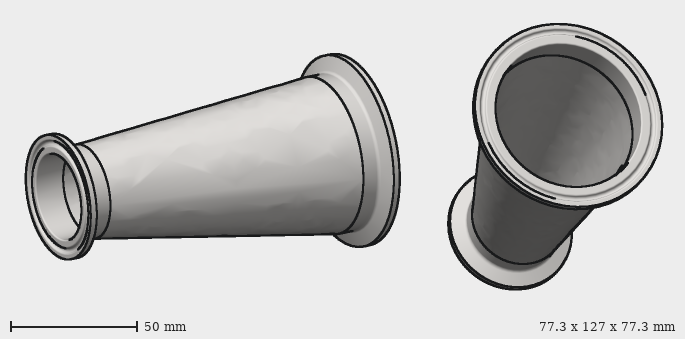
import cadquery as cq
import math

total_length = 127.0
ferrule_length = 12.7
wall = 1.7

large_tube_radius = 31.8
large_flange_radius = 38.67
small_tube_radius = 19.0
small_flange_radius = 25.1

small_axis_x = small_tube_radius - large_tube_radius

rim_thickness = 2.8
flange_back_angle = math.radians(20)
neck_fillet = 1.5
mouth_round = 0.6

groove_inset = 3.4
groove_floor_radius = 1.08
groove_lip_radius = 0.8
groove_flank_angle = math.radians(70)


def ferrule_body(tube_radius, flange_radius):
    """Flanged tube around the Y axis, with its clamp face at Y = 0."""
    bore_radius = tube_radius - wall
    neck_start = tube_radius + neck_fillet * (1 - math.sin(flange_back_angle))
    neck_start_y = rim_thickness + (flange_radius - neck_start) * math.tan(flange_back_angle)
    neck_centre_y = neck_start_y + neck_fillet * math.cos(flange_back_angle)

    neck_mid_angle = flange_back_angle / 2 + math.pi / 4
    neck_mid = (
        tube_radius + neck_fillet * (1 - math.sin(neck_mid_angle)),
        neck_centre_y - neck_fillet * math.cos(neck_mid_angle),
    )
    mouth_mid_offset = mouth_round * (1 - math.sqrt(0.5))

    profile = (
        cq.Workplane("XY")
        .moveTo(bore_radius + mouth_round, 0)
        .lineTo(flange_radius, 0)
        .lineTo(flange_radius, rim_thickness)
        .lineTo(neck_start, neck_start_y)
        .threePointArc(neck_mid, (tube_radius, neck_centre_y))
        .lineTo(tube_radius, ferrule_length)
        .lineTo(bore_radius, ferrule_length)
        .lineTo(bore_radius, mouth_round)
        .threePointArc(
            (bore_radius + mouth_mid_offset, mouth_mid_offset),
            (bore_radius + mouth_round, 0),
        )
        .close()
    )
    return profile.revolve(360, (0, 0, 0), (0, 1, 0))


def gasket_groove(centre_radius):
    """Ring-shaped cutter for the groove in a clamp face at Y = 0."""
    floor_half_width = groove_floor_radius * math.sin(groove_flank_angle)
    half_width = floor_half_width + groove_lip_radius * math.sin(groove_flank_angle)
    lip_depth = groove_lip_radius * (1 - math.cos(groove_flank_angle))
    depth = lip_depth + groove_floor_radius * (1 - math.cos(groove_flank_angle))

    lip_mid_offset = half_width - groove_lip_radius * math.sin(groove_flank_angle / 2)
    lip_mid_depth = groove_lip_radius * (1 - math.cos(groove_flank_angle / 2))

    profile = (
        cq.Workplane("XY")
        .moveTo(centre_radius - half_width, 0)
        .threePointArc(
            (centre_radius - lip_mid_offset, lip_mid_depth),
            (centre_radius - floor_half_width, lip_depth),
        )
        .threePointArc((centre_radius, depth), (centre_radius + floor_half_width, lip_depth))
        .threePointArc(
            (centre_radius + lip_mid_offset, lip_mid_depth),
            (centre_radius + half_width, 0),
        )
        .close()
    )
    return profile.revolve(360, (0, 0, 0), (0, 1, 0))


def ferrule(tube_radius, flange_radius):
    """Clamp ferrule with its grooved face at Y = 0 and its tube toward +Y."""
    body = ferrule_body(tube_radius, flange_radius)
    return body.cut(gasket_groove(flange_radius - groove_inset))


def oblique_cone(small_radius, large_radius):
    """Solid oblique cone between the inner ends of the two ferrules."""
    return (
        cq.Workplane("XZ", origin=(0, ferrule_length, 0))
        .center(small_axis_x, 0)
        .circle(small_radius)
        .workplane(offset=2 * ferrule_length - total_length)
        .center(-small_axis_x, 0)
        .circle(large_radius)
        .loft(ruled=True, combine=True)
    )


small_ferrule = ferrule(small_tube_radius, small_flange_radius).translate((small_axis_x, 0, 0))

large_ferrule = (
    ferrule(large_tube_radius, large_flange_radius)
    .rotate((0, 0, 0), (0, 0, 1), 180)
    .translate((0, total_length, 0))
)

reducer_cone = oblique_cone(small_tube_radius, large_tube_radius).cut(
    oblique_cone(small_tube_radius - wall, large_tube_radius - wall)
)

result = cq.Compound.makeCompound([small_ferrule.val(), reducer_cone.val(), large_ferrule.val()])